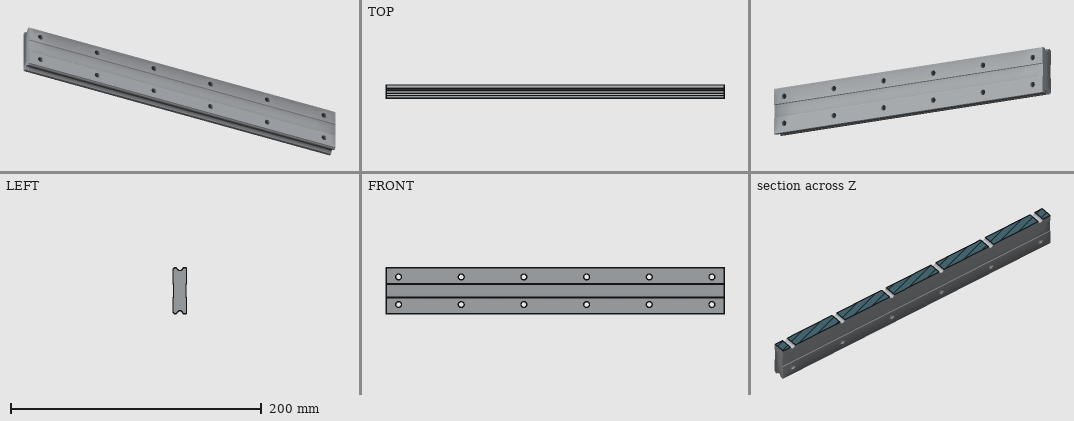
import cadquery as cq

LENGTH = 270.0
THICKNESS = 11.0
HEIGHT = 37.0

RELIEF_HEIGHT = 11.2
RELIEF_DEPTH = 0.5

GROOVE_DEPTH = 2.35
FLOOR_FRONT_Y = -1.3
FRONT_LIP_INNER_Y = -2.8
FRONT_CHAMFER = 0.4

BEAD_CREST_Y = 3.6
BEAD_HALF_WIDTH = 0.9
BEAD_SIDE_DROP = 0.4
BEAD_FOOT_Y = 2.1
BEAD_FOOT_DROP = 1.1
CREST_BULGE = 0.1
FLANK_HOLLOW = 0.12

HOLE_DIAMETER = 4.5
HOLE_COUNT = 6
HOLE_PITCH = 50.0
ROW_COUNT = 2
ROW_SPACING = 22.0


def upper_half_bar():
    """Half of the bar above Z = 0, extruded along X from its cross section."""
    side = THICKNESS / 2
    top = HEIGHT / 2
    relief_side = side - RELIEF_DEPTH
    relief_top = RELIEF_HEIGHT / 2
    relief_floor_top = relief_top - RELIEF_DEPTH
    groove_floor = top - GROOVE_DEPTH
    bead_side_z = top - BEAD_SIDE_DROP
    bead_foot_z = top - BEAD_FOOT_DROP
    floor_back_y = BEAD_FOOT_Y - (bead_foot_z - groove_floor)
    return (
        cq.Workplane("YZ")
        .moveTo(-relief_side, 0)
        .lineTo(-relief_side, relief_floor_top)
        .lineTo(-side, relief_top)
        .lineTo(-side, top - FRONT_CHAMFER)
        .lineTo(-side + FRONT_CHAMFER, top)
        .lineTo(FRONT_LIP_INNER_Y, top)
        .lineTo(FLOOR_FRONT_Y, groove_floor)
        .lineTo(floor_back_y, groove_floor)
        .lineTo(BEAD_FOOT_Y, bead_foot_z)
        .sagittaArc((BEAD_CREST_Y - BEAD_HALF_WIDTH, bead_side_z), -FLANK_HOLLOW)
        .sagittaArc((BEAD_CREST_Y, top), CREST_BULGE)
        .sagittaArc((BEAD_CREST_Y + BEAD_HALF_WIDTH, bead_side_z), CREST_BULGE)
        .sagittaArc((side, bead_foot_z), -FLANK_HOLLOW)
        .lineTo(side, relief_top)
        .lineTo(relief_side, relief_floor_top)
        .lineTo(relief_side, 0)
        .close()
        .extrude(LENGTH / 2, both=True)
    )


def make_bar():
    """Whole bar: the upper half joined to its mirror image below Z = 0."""
    upper = upper_half_bar()
    return upper.union(upper.mirror("XY")).clean()


def hole_cutters():
    """Cylinders for both rows of holes, passing through the whole thickness."""
    return (
        cq.Workplane("XZ")
        .rarray(HOLE_PITCH, ROW_SPACING, HOLE_COUNT, ROW_COUNT)
        .circle(HOLE_DIAMETER / 2)
        .extrude(THICKNESS / 2, both=True)
    )


result = make_bar().cut(hole_cutters())